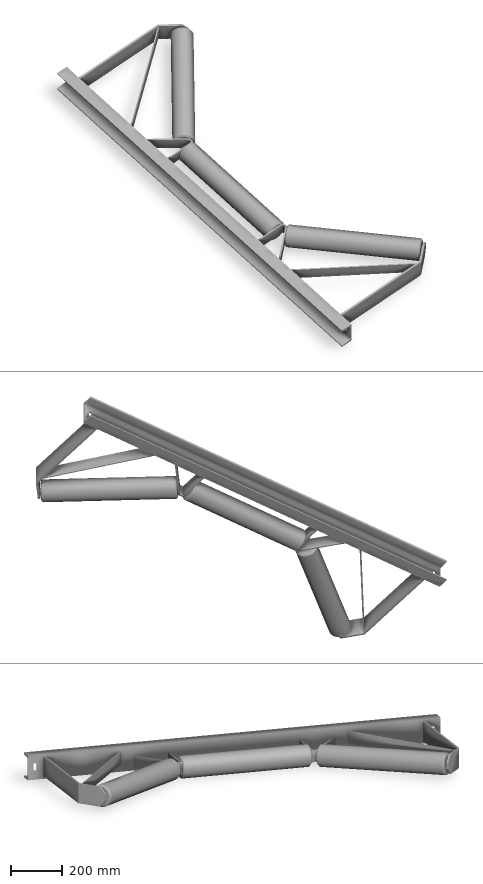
import cadquery as cq
import math


BEAM_LENGTH = 1700.0
BEAM_HEIGHT = 100.0
FLANGE_WIDTH = 50.0
WEB_THICKNESS = 6.0
FLANGE_THICKNESS = 8.5
FLANGE_SLOPE = 0.08
FLANGE_ROOT_RADIUS = 8.5
FLANGE_TIP_RADIUS = 4.5
SLOT_WIDTH = 14.0
SLOT_HEIGHT = 30.0
SLOT_FROM_END = 30.0

ROLLER_RADIUS = 44.5
ROLLER_LENGTH = 532.0
ROLLER_CHAMFER = 5.0
SHAFT_RADIUS = 12.0
BORE_OVERRUN = 1.0
MIDDLE_AXIS_Y = 116.5
MIDDLE_AXIS_Z = 30.0
TROUGH_ANGLE = 40.0
FORWARD_TILT = 2.0
WING_MID_X = -510.1
WING_MID_Y = 304.5
WING_MID_Z = 40.0

OUTER_HEIGHT = 80.0
INNER_HEIGHT = 50.0
STRIP_BOTTOM = (BEAM_HEIGHT - OUTER_HEIGHT) / 2
OUTER_THICKNESS = 8.0
INNER_THICKNESS = 6.0
OUTER_GAP = 6.0
WING_INNER_GAP = 2.0
MIDDLE_GAP = 1.0
POST_OUTER_X = -785.0
FLAP_TIP_MARGIN = 28.0
FLAP_CHAMFER = 27.0
BEND_INNER_RADIUS = 8.0
INNER_TOP_Y = 150.0

BRACE_THICKNESS = 5.0
BRACE_HEIGHT = 50.0
BRACE_BOTTOM = 30.0
BRACE_FOOT_X = -470.0
BRACE_HEAD_Y = 408.0

trough = math.radians(TROUGH_ANGLE)
tilt = math.radians(FORWARD_TILT)
inward = (math.cos(trough), -math.sin(trough))
along_flap = (math.sin(trough), math.cos(trough))
WING_HALF = ROLLER_LENGTH / 2 * math.cos(tilt)


def wing_point(offset_inward, offset_flap):
    """Level position measured from the middle of the left wing roller."""
    return (
        WING_MID_X + offset_inward * inward[0] + offset_flap * along_flap[0],
        WING_MID_Y + offset_inward * inward[1] + offset_flap * along_flap[1],
    )


def flap_offset_at_x(offset_inward, x):
    """Distance along the flap direction at which a flap line reaches the given X."""
    return (x - wing_point(offset_inward, 0)[0]) / along_flap[0]


def flap_offset_at_y(offset_inward, y):
    """Distance along the flap direction at which a flap line reaches the given Y."""
    return (y - wing_point(offset_inward, 0)[1]) / along_flap[1]


def extrude_level(points, bottom, height):
    return cq.Workplane("XY", origin=(0, 0, bottom)).polyline(points).close().extrude(height)


def make_beam():
    half_width = FLANGE_WIDTH / 2
    tip = FLANGE_THICKNESS - FLANGE_SLOPE * half_width
    root = FLANGE_THICKNESS + FLANGE_SLOPE * (half_width - WEB_THICKNESS)
    section = [
        (0, 0),
        (-FLANGE_WIDTH, 0),
        (-FLANGE_WIDTH, tip),
        (-WEB_THICKNESS, root),
        (-WEB_THICKNESS, BEAM_HEIGHT - root),
        (-FLANGE_WIDTH, BEAM_HEIGHT - tip),
        (-FLANGE_WIDTH, BEAM_HEIGHT),
        (0, BEAM_HEIGHT),
    ]
    beam = cq.Workplane("YZ").polyline(section).close().extrude(BEAM_LENGTH / 2, both=True)
    for y, z_inset, radius in (
        (-WEB_THICKNESS, root, FLANGE_ROOT_RADIUS),
        (-FLANGE_WIDTH, tip, FLANGE_TIP_RADIUS),
    ):
        for z in (z_inset, BEAM_HEIGHT - z_inset):
            corner = cq.selectors.NearestToPointSelector((0, y, z))
            beam = beam.edges("|X").edges(corner).fillet(radius)
    slot_x = BEAM_LENGTH / 2 - SLOT_FROM_END
    slots = (
        cq.Workplane("XZ", origin=(0, 0, BEAM_HEIGHT / 2))
        .pushPoints([(-slot_x, 0), (slot_x, 0)])
        .rect(SLOT_WIDTH, SLOT_HEIGHT)
        .extrude(WEB_THICKNESS)
    )
    return beam.cut(slots)


def axis_cylinder(radius, start, end):
    """Cylinder about X between two X positions."""
    plane = cq.Plane(origin=(start, 0, 0), xDir=(0, 0, 1), normal=(1, 0, 0))
    return cq.Workplane(plane).circle(radius).extrude(end - start)


def make_roller(left_shaft, right_shaft):
    """Roller about X, centred on the origin, with its shaft stubs."""
    half = ROLLER_LENGTH / 2
    shell = axis_cylinder(ROLLER_RADIUS, -half, half).edges("%CIRCLE").chamfer(ROLLER_CHAMFER)
    return shell.union(axis_cylinder(SHAFT_RADIUS, -half - left_shaft, half + right_shaft))


def axis_bore(start, end):
    """Shaft hole cutter about X."""
    return axis_cylinder(SHAFT_RADIUS, start, end)


def place_on_wing(body):
    """Move a body from the X axis to the axis of the left wing roller."""
    return (
        body.rotate((0, 0, 0), (0, 1, 0), FORWARD_TILT)
        .rotate((0, 0, 0), (0, 0, 1), -TROUGH_ANGLE)
        .translate((WING_MID_X, WING_MID_Y, WING_MID_Z))
    )


def place_on_middle(body):
    return body.translate((0, MIDDLE_AXIS_Y, MIDDLE_AXIS_Z))


def make_outer_bracket():
    """Post on the web, bent at its head into a flap with clipped corners."""
    face = -WING_HALF - OUTER_GAP
    back = face - OUTER_THICKNESS
    post_inner_x = POST_OUTER_X + OUTER_THICKNESS
    outer_bend = wing_point(back, flap_offset_at_x(back, POST_OUTER_X))
    inner_bend = wing_point(face, flap_offset_at_x(face, post_inner_x))
    outline = [
        (POST_OUTER_X, 0),
        outer_bend,
        wing_point(back, FLAP_TIP_MARGIN),
        wing_point(face, FLAP_TIP_MARGIN),
        inner_bend,
        (post_inner_x, 0),
    ]
    bracket = extrude_level(outline, STRIP_BOTTOM, OUTER_HEIGHT)
    bend_radii = ((inner_bend, BEND_INNER_RADIUS), (outer_bend, BEND_INNER_RADIUS + OUTER_THICKNESS))
    for bend, radius in bend_radii:
        corner = cq.selectors.NearestToPointSelector((*bend, BEAM_HEIGHT / 2))
        bracket = bracket.edges("|Z").edges(corner).fillet(radius)
    tip = cq.selectors.DirectionMinMaxSelector(cq.Vector(*along_flap, 0), True)
    tip_ends = cq.selectors.ParallelDirSelector(cq.Vector(*inward, 0))
    bracket = bracket.faces(tip).edges(tip_ends).chamfer(FLAP_CHAMFER)
    return bracket.cut(place_on_wing(axis_bore(back - BORE_OVERRUN, face + OUTER_GAP)))


def make_inner_bracket():
    """Folded strip: a post beside the middle roller and a leg across the wing roller's end."""
    post_face_x = -ROLLER_LENGTH / 2 - MIDDLE_GAP
    post_back_x = post_face_x - INNER_THICKNESS
    leg_face = WING_HALF + WING_INNER_GAP
    leg_back = leg_face + INNER_THICKNESS
    under_top_y = INNER_TOP_Y - INNER_THICKNESS
    outline = [
        (post_face_x, 0),
        (post_face_x, INNER_TOP_Y),
        wing_point(leg_face, flap_offset_at_y(leg_face, INNER_TOP_Y)),
        wing_point(leg_face, flap_offset_at_y(leg_face, 0)),
        wing_point(leg_back, flap_offset_at_y(leg_back, 0)),
        wing_point(leg_back, flap_offset_at_y(leg_back, under_top_y)),
        (post_back_x, under_top_y),
        (post_back_x, 0),
    ]
    bracket = extrude_level(outline, STRIP_BOTTOM, INNER_HEIGHT)
    middle_bore = axis_bore(post_back_x, post_face_x)
    wing_bore = axis_bore(leg_face - WING_INNER_GAP, leg_back + BORE_OVERRUN)
    return bracket.cut(place_on_middle(middle_bore)).cut(place_on_wing(wing_bore))


def make_brace(bracket):
    """Flat diagonal from the head of the post to the web, its head fitted to the bracket's bend."""
    post_x = POST_OUTER_X + OUTER_THICKNESS
    slope = math.atan2(BRACE_HEAD_Y, BRACE_FOOT_X - post_x)
    head_half = BRACE_THICKNESS / math.cos(slope) / 2
    foot_half = BRACE_THICKNESS / math.sin(slope) / 2
    outline = [
        (post_x, BRACE_HEAD_Y - head_half),
        (post_x, BRACE_HEAD_Y + head_half),
        (BRACE_FOOT_X + foot_half, 0),
        (BRACE_FOOT_X - foot_half, 0),
    ]
    return extrude_level(outline, BRACE_BOTTOM, BRACE_HEIGHT).cut(bracket)


beam = make_beam()
middle_shaft = MIDDLE_GAP + INNER_THICKNESS
middle_roller = place_on_middle(make_roller(middle_shaft, middle_shaft))
wing_roller = place_on_wing(
    make_roller(OUTER_GAP + OUTER_THICKNESS, WING_INNER_GAP + INNER_THICKNESS)
)

outer_bracket = make_outer_bracket()
inner_bracket = make_inner_bracket()
brace = make_brace(outer_bracket)

bodies = [beam.solids().val(), middle_roller.solids().val()]
for left_body in (wing_roller, outer_bracket, inner_bracket, brace):
    bodies.append(left_body.solids().val())
    bodies.append(left_body.mirror("YZ").solids().val())

result = cq.Compound.makeCompound(bodies)